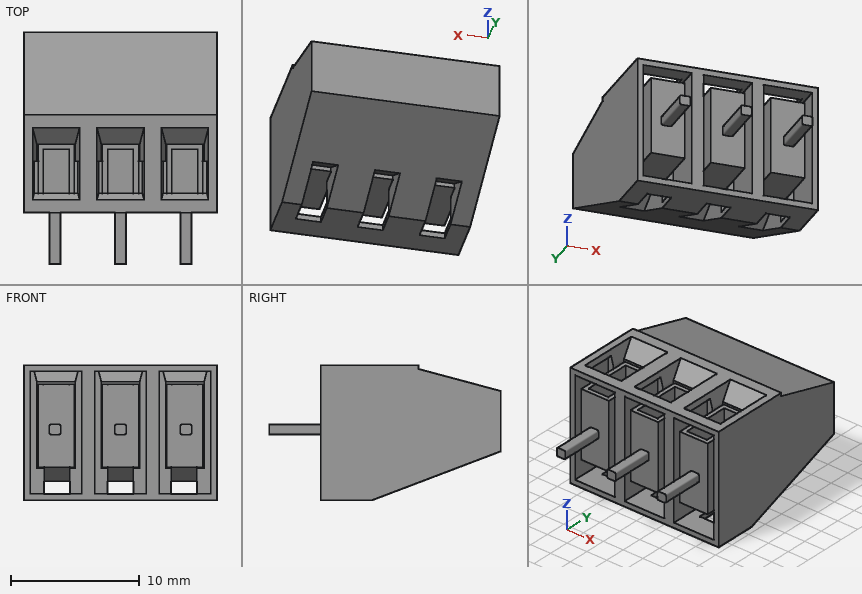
import cadquery as cq
import math

housing_width = 15.0
housing_depth = 14.0
housing_height = 10.5
top_flat_depth = 7.6
top_step = 0.3
top_slope_degrees = 15.0
bottom_flat_depth = 4.0
bottom_slope_rise = 3.8

pole_count = 3
pole_pitch = 5.0
wall = 0.5
chamber_width = 4.025
chamber_depth = 4.0
chamber_height = housing_height - 2 * wall
recess_width = 2.98
recess_bottom = 2.5

funnel_height = 1.3
funnel_mouth_width = 3.65
funnel_mouth_front = 1.0
funnel_mouth_back = 6.6
recess_top = housing_height - funnel_height
recess_back = funnel_mouth_back - funnel_height

cage_pitch = 4.98
cage_width = 2.8
cage_wall = 0.4
cage_bottom = 2.57
cage_top = 9.0
cage_front = 0.0
cage_bore_width = cage_width - 2 * cage_wall

slot_front = 2.0
slot_pitch = 4.93
slot_width = 2.0
slot_roof_degrees = 30.0
slot_exit_height = 1.47
bottom_slope = bottom_slope_rise / (housing_depth - bottom_flat_depth)
slot_back = bottom_flat_depth + slot_exit_height / bottom_slope
slot_roof_rise = (slot_back - recess_back) * math.tan(math.radians(slot_roof_degrees))
slot_roof_front = slot_exit_height + slot_roof_rise

pin_pitch = 5.08
pin_width = 0.88
pin_height = 0.8
pin_fillet = 0.15
pin_length = 4.0
pin_z = 5.5


def centres(pitch):
    return [(i - (pole_count - 1) / 2) * pitch for i in range(pole_count)]


def box(x, width, y_range, z_range):
    """Block centred on x that fills the given Y and Z ranges."""
    size_y = y_range[1] - y_range[0]
    size_z = z_range[1] - z_range[0]
    block = cq.Workplane("XY").box(width, size_y, size_z, centered=(True, False, False))
    return block.translate((x, y_range[0], z_range[0]))


def prism(x, width, points):
    """Y-Z outline extruded along X, centred on x."""
    return cq.Workplane("YZ").polyline(points).close().extrude(width / 2, both=True).translate((x, 0, 0))


def make_housing():
    slope_top = housing_height - top_step
    back_top = slope_top - (housing_depth - top_flat_depth) * math.tan(math.radians(top_slope_degrees))
    outline = [
        (0, 0),
        (bottom_flat_depth, 0),
        (housing_depth, bottom_slope_rise),
        (housing_depth, back_top),
        (top_flat_depth, slope_top),
        (top_flat_depth, housing_height),
        (0, housing_height),
    ]
    return prism(0, housing_width, outline)


def make_funnel(x):
    mouth_length = funnel_mouth_back - funnel_mouth_front
    throat_length = mouth_length - 2 * funnel_height
    middle_y = (funnel_mouth_front + funnel_mouth_back) / 2
    return (
        cq.Workplane("XY", origin=(x, middle_y, recess_top))
        .rect(recess_width, throat_length)
        .workplane(offset=funnel_height)
        .rect(funnel_mouth_width, mouth_length)
        .loft(ruled=True)
    )


def make_cavity(x):
    chamber = box(x, chamber_width, (0, chamber_depth), (wall, wall + chamber_height))
    recess = box(x, recess_width, (0, recess_back), (recess_bottom, recess_top))
    return chamber.union(recess).union(make_funnel(x))


def make_slot(x):
    outline = [
        (slot_front, 0),
        (bottom_flat_depth, 0),
        (slot_back, slot_exit_height),
        (recess_back, slot_roof_front),
        (slot_front, slot_roof_front),
    ]
    return prism(x, slot_width, outline)


def make_cage(x):
    z_range = (cage_bottom, cage_top)
    bore_z_range = (cage_bottom + cage_wall, cage_top)
    shell = box(x, cage_width, (cage_front, recess_back), z_range)
    bore = box(x, cage_bore_width, (cage_front + cage_wall, recess_back - cage_wall), bore_z_range)
    return shell.cut(bore)


def make_pin(x):
    y_range = (-pin_length, cage_front + cage_wall / 2)
    z_range = (pin_z - pin_height / 2, pin_z + pin_height / 2)
    return box(x, pin_width, y_range, z_range).edges("|Y").fillet(pin_fillet)


result = make_housing()
for x in centres(pole_pitch):
    result = result.cut(make_cavity(x))
for x in centres(slot_pitch):
    result = result.cut(make_slot(x))
for x in centres(cage_pitch):
    result = result.union(make_cage(x))
for x in centres(pin_pitch):
    result = result.union(make_pin(x))